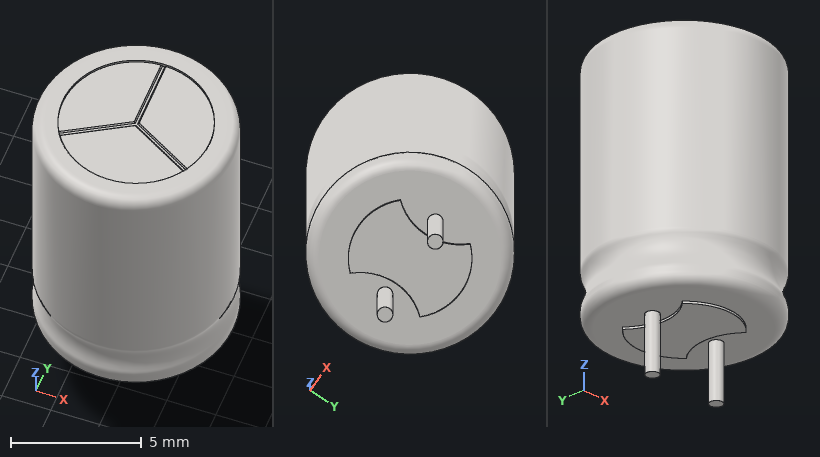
import cadquery as cq
import math

body_diameter = 8.0
top_height = 11.5
standoff = 0.1
body_radius = body_diameter / 2
rim_fillet = 0.5

crimp_height = 1.65
crimp_depth = 0.2
crimp_radius = 1.33
crimp_blend_radius = 0.5

recess_diameter = 6.0
recess_depth = 0.1
score_count = 3
score_top_width = 0.2
score_floor_width = 0.1
score_depth = 0.05

lead_diameter = 0.6
lead_spacing = 3.5
lead_length = 2.5

pad_radius = 2.37
bite_offset = lead_spacing


def make_can():
    """Revolved can with rounded rims and a crimp groove blended into the wall by tangent arcs."""
    center_distance = crimp_radius + crimp_blend_radius
    groove_half_height = math.sqrt(center_distance**2 - (center_distance - crimp_depth) ** 2)
    radius_share = crimp_radius / center_distance
    tangent_half_height = groove_half_height * radius_share
    tangent_radius = body_radius - crimp_depth + crimp_depth * radius_share
    flat_radius = body_radius - rim_fillet
    profile = (
        cq.Workplane("XZ")
        .moveTo(0, standoff)
        .lineTo(flat_radius, standoff)
        .tangentArcPoint((body_radius, standoff + rim_fillet), relative=False)
        .lineTo(body_radius, crimp_height - groove_half_height)
        .tangentArcPoint((tangent_radius, crimp_height - tangent_half_height), relative=False)
        .tangentArcPoint((tangent_radius, crimp_height + tangent_half_height), relative=False)
        .tangentArcPoint((body_radius, crimp_height + groove_half_height), relative=False)
        .lineTo(body_radius, top_height - rim_fillet)
        .tangentArcPoint((flat_radius, top_height), relative=False)
        .lineTo(0, top_height)
        .close()
    )
    return profile.revolve(360, (0, 0, 0), (0, 1, 0))


def make_top_recess():
    """Round recess in the top, with sloped-wall vent scores radiating from its centre."""
    recess_radius = recess_diameter / 2
    floor_height = top_height - recess_depth
    score_bottom = floor_height - score_depth
    score_profile = [
        (-score_floor_width / 2, score_bottom),
        (score_floor_width / 2, score_bottom),
        (score_top_width / 2, floor_height),
        (-score_top_width / 2, floor_height),
    ]
    score = cq.Workplane("XZ").polyline(score_profile).close().extrude(-body_radius)
    scores = score
    for index in range(1, score_count):
        scores = scores.union(score.rotate((0, 0, 0), (0, 0, 1), index * 360 / score_count))
    score_zone = cq.Workplane("XY").workplane(offset=score_bottom).circle(recess_radius).extrude(score_depth)
    recess = cq.Workplane("XY").workplane(offset=floor_height).circle(recess_radius).extrude(recess_depth)
    return recess.union(scores.intersect(score_zone))


def make_pad():
    """Standoff pad under the can, cut away around both leads."""
    pad = cq.Workplane("XY").circle(pad_radius).extrude(standoff)
    bites = (
        cq.Workplane("XY")
        .pushPoints([(-bite_offset, 0), (bite_offset, 0)])
        .circle(pad_radius)
        .extrude(standoff)
    )
    return pad.cut(bites)


def make_leads():
    """Two round leads hanging from the underside of the can."""
    return (
        cq.Workplane("XY")
        .workplane(offset=-lead_length)
        .pushPoints([(-lead_spacing / 2, 0), (lead_spacing / 2, 0)])
        .circle(lead_diameter / 2)
        .extrude(lead_length + standoff)
    )


result = make_can().cut(make_top_recess()).union(make_pad()).union(make_leads())